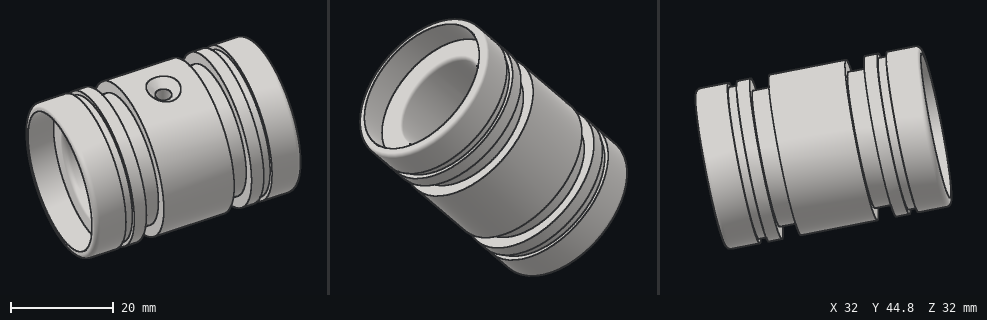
import cadquery as cq

length = 44.8
outer_dia = 32.0
bore_dia = 20.0
rim_fillet = 1.05

recess_dia = 28.7
recess_depth = 5.5
bore_fillet = 1.07

shallow_groove_dia = 30.25
shallow_groove_start = 6.6
shallow_groove_width = 1.8
deep_groove_dia = 27.15
deep_groove_start = 11.0
deep_groove_width = 3.75

hole_dia = 3.22
mouth_depth = 1.9
mouth_radius_x = 4.35
mouth_radius_y = 3.3
mouth_overreach = 1.1


def cylinder(diameter, start, height):
    """Cylinder along +Y whose first face lies at Y = start."""
    plane = cq.Plane(origin=(0, start, 0), xDir=(1, 0, 0), normal=(0, 1, 0))
    return cq.Workplane(plane).circle(diameter / 2).extrude(height)


def ring_groove(floor_dia, start, width):
    """Ring that cuts the outside down to floor_dia."""
    return cylinder(outer_dia + 0.45, start, width).cut(cylinder(floor_dia, start, width))


def cut_both_halves(body, cutter):
    """Cut the cutter and its mirror image across the XZ plane."""
    return body.cut(cutter).cut(cutter.mirror("XZ"))


def hole_mouth():
    """Flared cutter, round at its bottom and elliptical at the top, wider along X."""
    hole_radius = hole_dia / 2
    flare_x = hole_radius + (mouth_radius_x - hole_radius) * mouth_overreach
    flare_y = hole_radius + (mouth_radius_y - hole_radius) * mouth_overreach
    return (
        cq.Workplane("XY", origin=(0, 0, outer_dia / 2 - mouth_depth))
        .ellipse(hole_radius, hole_radius)
        .workplane(offset=mouth_depth * mouth_overreach)
        .ellipse(flare_x, flare_y)
        .loft(ruled=True)
    )


end_face = -length / 2

body = cylinder(outer_dia, end_face, length).faces("<Y or >Y").edges().fillet(rim_fillet)

hole = cq.Workplane("XY").circle(hole_dia / 2).extrude(outer_dia)
body = body.cut(hole).cut(hole_mouth())

body = cut_both_halves(body, cylinder(recess_dia, end_face, recess_depth))
bore_length = length - 2 * recess_depth
bore = cylinder(bore_dia, end_face + recess_depth, bore_length)
collar = cylinder(outer_dia, end_face + recess_depth, bore_length).cut(bore)
bore_edges = cq.selectors.RadiusNthSelector(0)
rounded_collar = collar.edges("%CIRCLE").edges(bore_edges).fillet(bore_fillet)
body = body.cut(bore).cut(collar.cut(rounded_collar))

body = cut_both_halves(
    body, ring_groove(shallow_groove_dia, end_face + shallow_groove_start, shallow_groove_width)
)
body = cut_both_halves(
    body, ring_groove(deep_groove_dia, end_face + deep_groove_start, deep_groove_width)
)

result = body